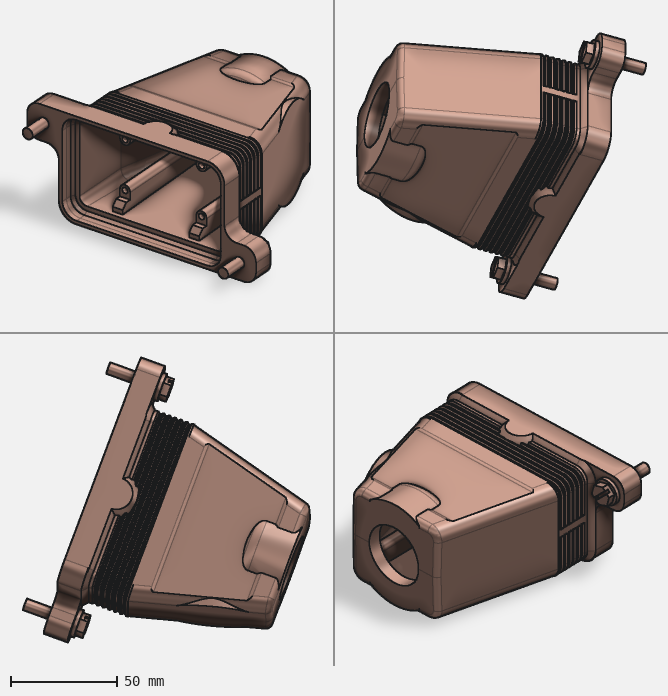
import cadquery as cq
import math


overlap = 1.3

total_length = 132.5
flange_half_x = 48.0
flange_half_z = 29.0
flange_thickness = 11.9
flange_corner = 10.0
lug_corner = 7.0
lug_edge_z = 9.5

collar_half_x = 45.2
collar_half_z = 26.6
collar_corner = 6.9
collar_top = 34.5
foot_chamfer = flange_half_x - collar_half_x
groove_count = 6
groove_pitch = 2.9
groove_depth = 0.8
groove_mouth = 2.4
groove_floor = 0.7
first_groove_y = 17.6
strip_half_width = 2.3

hood_top = 99.9
hood_base_x = 44.9
side_slope = math.radians(15.0)
back_drop = 0.7
back_round = 3.3
panel_depth = 0.5
panel_start = 44.4
panel_end = 87.2
panel_ramp = 1.7

gland_radius = flange_half_z
gland_start = 75.5
gland_cone_end = 78.3
gland_round = 6.2
cone_angle = math.radians(45.0)
gland_half_width = 15.9
gland_hole_radius = 15.9
side_boss_radius = 26.0
side_boss_y = 73.0
side_boss_depth = 10.6

pad_radius = 7.7
pad_skirt = 3.5

seat_half_x = 45.8
seat_half_z = 27.0
seat_corner = 8.0
seat_straight = 3.2
seat_taper = 0.1
seat_taper_end = 6.5
seat_chamfer = 1.2
seat_depth = 8.7
mouth_half_x = 42.1
mouth_half_z = 23.2
mouth_corner = 4.2
bend_y = 39.8
bend_half_x = 40.4
cavity_end = 92.8
cavity_corner = 5.3
end_half_x = bend_half_x - (cavity_end - bend_y) * math.tan(side_slope)
end_half_z = 21.5
bend_share = (bend_y - seat_depth) / (cavity_end - seat_depth)
bend_half_z = mouth_half_z + (end_half_z - mouth_half_z) * bend_share

post_x = 22.1
post_radius = 2.9
post_hole_z = 13.6
post_hole_radius = 1.6
post_hole_depth = 15.9
post_face = 17.6
nose_tip = 11.7
nose_z = 17.8
nose_chamfer = 2.9

screw_x = 56.6
screw_z = 19.5
shank_radius = 2.9
shank_length = 13.1
washer_radius = 6.9
washer_thickness = 2.1
head_width = 11.5
head_height = 3.8
head_turn = -45.0
slot_width = 1.6
slot_depth = 2.0


def section(y):
    """Workplane across the hood at height y: local x is X, local y is Z, normal is +Y."""
    return cq.Workplane("XZ", origin=(0, y, 0)).transformed(rotate=(180, 0, 0))


def rounded_sketch(half_x, half_z, radius):
    return cq.Sketch().rect(2 * half_x, 2 * half_z).vertices().fillet(radius)


def rounded_prism(half_x, half_z, radius, y_start, y_end):
    sketch = rounded_sketch(half_x, half_z, radius)
    return section(y_start).placeSketch(sketch).extrude(y_end - y_start)


def rounded_loft(start, end, y_start, y_end):
    """Ruled solid between two rounded rectangles given as (half_x, half_z, radius)."""
    first = rounded_sketch(*start)
    last = rounded_sketch(*end).moved(cq.Location(cq.Vector(0, 0, y_end - y_start)))
    return section(y_start).placeSketch(first, last).loft(ruled=True)


def box_between(x, y, z):
    """Box from (low, high) pairs along X, Y and Z."""
    size = [high - low for low, high in (x, y, z)]
    return cq.Workplane().box(*size, centered=False).translate((x[0], y[0], z[0]))


def make_flange():
    body = rounded_prism(flange_half_x, flange_half_z, flange_corner, 0, flange_thickness)
    for turn in (0, 180):
        body = body.union(make_lug().rotate((0, 0, 0), (0, 1, 0), turn))
    return body


def make_lug():
    """Lug on the -X, +Z corner, blended into the flange side by a concave round."""
    outer_x = -total_length / 2
    inner_x = -flange_half_x + flange_corner
    r = lug_corner
    k = r * (1 - math.sqrt(0.5))
    edge = -flange_half_x
    outline = (
        cq.Workplane("XZ")
        .moveTo(inner_x, flange_half_z)
        .lineTo(outer_x + r, flange_half_z)
        .threePointArc((outer_x + k, flange_half_z - k), (outer_x, flange_half_z - r))
        .lineTo(outer_x, lug_edge_z + r)
        .threePointArc((outer_x + k, lug_edge_z + k), (outer_x + r, lug_edge_z))
        .lineTo(edge - r, lug_edge_z)
        .threePointArc((edge - k, lug_edge_z - k), (edge, lug_edge_z - r))
        .lineTo(inner_x, lug_edge_z - r)
        .close()
    )
    return outline.extrude(-flange_thickness)


def make_collar():
    collar = rounded_prism(collar_half_x, collar_half_z, collar_corner, 0, collar_top)
    narrow = (collar_half_x, collar_half_z, flange_corner - foot_chamfer)
    wide = tuple(size + foot_chamfer for size in narrow)
    foot = rounded_loft(wide, narrow, flange_thickness, flange_thickness + foot_chamfer)
    foot_height = (flange_thickness, flange_thickness + foot_chamfer)
    flange_width = (-flange_half_x, flange_half_x)
    foot = foot.intersect(box_between(flange_width, foot_height, (-flange_half_z, flange_half_z)))
    for index in range(groove_count):
        collar = collar.cut(make_groove(first_groove_y + index * groove_pitch))
    return collar.union(foot)


def make_groove(y):
    """Ring-shaped cutter of trapezoidal section, interrupted by a strip on each X side."""
    outer = (collar_half_x, collar_half_z, collar_corner)
    inner = tuple(size - groove_depth for size in outer)
    low = y - groove_mouth / 2
    high = y + groove_mouth / 2
    floor_low = y - groove_floor / 2
    floor_high = y + groove_floor / 2
    ring = rounded_prism(*outer, low, high)
    ring = ring.cut(rounded_loft(outer, inner, low, floor_low))
    ring = ring.cut(rounded_prism(*inner, floor_low, floor_high))
    ring = ring.cut(rounded_loft(inner, outer, floor_high, high))
    reach = collar_half_x + overlap
    strip = box_between((-reach, reach), (low, high), (-strip_half_width, strip_half_width))
    return ring.cut(strip)


def make_hood():
    """Tapered block with rounded sides and a back face falling away from its middle."""
    top_x = hood_base_x - (hood_top - collar_top) * math.tan(side_slope)
    block = (
        cq.Workplane("XY")
        .polyline(
            [
                (-hood_base_x, collar_top),
                (hood_base_x, collar_top),
                (top_x, hood_top),
                (-top_x, hood_top),
            ]
        )
        .close()
        .extrude(collar_half_z, both=True)
    )
    block = block.intersect(back_limit())
    block = block.faces("|Z").edges("not |X").fillet(collar_corner)
    return block.faces(">Y").edges("not(>Y)").fillet(back_round)


def back_limit():
    """Wedge-backed block that gives the back face its slight fall toward both Z sides."""
    side_y = hood_top - back_drop
    half = flange_half_z
    return (
        cq.Workplane("YZ")
        .polyline([(0, -half), (side_y, -half), (hood_top, 0), (side_y, half), (0, half)])
        .close()
        .extrude(total_length / 2, both=True)
    )


def make_panel_cutter():
    """Shallow recess across the +Z face, with sloped ends."""
    floor_z = collar_half_z - panel_depth
    return (
        cq.Workplane("YZ")
        .polyline(
            [
                (panel_start, floor_z),
                (panel_end, floor_z),
                (panel_end + panel_ramp, collar_half_z),
                (panel_start - panel_ramp, collar_half_z),
            ]
        )
        .close()
        .extrude(total_length / 2, both=True)
    )


def make_gland_boss():
    """Cylinder on the back whose end rounds over tangentially into a 45 degree cone."""
    run = gland_round * math.sin(cone_angle)
    drop = gland_round * (1 - math.cos(cone_angle))
    cone_length = gland_cone_end - gland_start
    arc_start = (gland_radius, gland_cone_end + run)
    arc_middle = (
        gland_radius - gland_round * (1 - math.cos(cone_angle / 2)),
        arc_start[1] - gland_round * math.sin(cone_angle / 2),
    )
    arc_end = (gland_radius - drop, gland_cone_end)
    boss = (
        cq.Workplane("XY")
        .moveTo(0, gland_start)
        .lineTo(arc_end[0] - cone_length * math.tan(cone_angle), gland_start)
        .lineTo(*arc_end)
        .threePointArc(arc_middle, arc_start)
        .lineTo(gland_radius, hood_top)
        .lineTo(0, hood_top)
        .close()
        .revolve(360, (0, 0, 0), (0, 1, 0))
    )
    width = (-gland_half_width, gland_half_width)
    height = (-gland_radius, gland_radius)
    boss = boss.intersect(box_between(width, (gland_start, hood_top), height))
    return boss.intersect(back_limit())


def make_side_boss():
    """Disc flush with the slanted +X face, showing where it fills the rounded edges."""
    face_x = hood_base_x - (side_boss_y - collar_top) * math.tan(side_slope)
    normal = cq.Vector(math.cos(side_slope), math.sin(side_slope), 0)
    plane = cq.Plane(origin=(face_x, side_boss_y, 0), xDir=(0, 0, 1), normal=normal.toTuple())
    return cq.Workplane(plane).circle(side_boss_radius).extrude(-side_boss_depth)


def make_pads():
    """Half-round pads, flush with both Z faces of the flange, on a 45 degree skirt."""
    skirt = (
        cq.Workplane("XY", origin=(0, flange_thickness, flange_half_z - pad_skirt))
        .circle(pad_radius + pad_skirt)
        .workplane(offset=pad_skirt)
        .circle(pad_radius)
        .loft()
    )
    reach = pad_radius + pad_skirt
    height = (flange_thickness - overlap, flange_thickness + reach)
    keep = box_between((-reach, reach), height, (0, flange_half_z))
    pad = skirt.intersect(keep)
    return pad.union(pad.mirror("XY"))


def make_cavity():
    rim = (seat_half_x, seat_half_z, seat_corner)
    throat = tuple(size - seat_taper for size in rim)
    ledge = tuple(size - seat_chamfer for size in throat)
    cavity = rounded_prism(*rim, 0, seat_straight)
    cavity = cavity.union(rounded_loft(rim, throat, seat_straight, seat_taper_end))
    cavity = cavity.union(rounded_loft(throat, ledge, seat_taper_end, seat_depth))
    mouth = (mouth_half_x, mouth_half_z, mouth_corner)
    bend = (bend_half_x, bend_half_z, cavity_corner)
    end = (end_half_x, end_half_z, cavity_corner)
    cavity = cavity.union(rounded_loft(mouth, bend, seat_depth, bend_y))
    cavity = cavity.union(rounded_loft(bend, end, bend_y, cavity_end))
    hole = section(cavity_end - overlap).circle(gland_hole_radius)
    hole = hole.extrude(hood_top - cavity_end + 2 * overlap)
    return cavity.union(hole)


def make_post():
    """Post along Y on the +X, +Z side, with a chamfered nose and a blind screw hole."""
    wall_z = mouth_half_z + overlap
    sides = (post_x - post_radius, post_x + post_radius)
    depth = (post_face, cavity_end + overlap)
    post = box_between(sides, depth, (post_hole_z, wall_z))
    bar = cq.Workplane("XZ", origin=(post_x, post_face, post_hole_z))
    post = post.union(bar.circle(post_radius).extrude(post_face - depth[1]))
    nose = (
        cq.Workplane("YZ", origin=(sides[0], 0, 0))
        .polyline(
            [
                (post_face, nose_z),
                (nose_tip + nose_chamfer, nose_z),
                (nose_tip, nose_z + nose_chamfer),
                (nose_tip, wall_z),
                (post_face, wall_z),
            ]
        )
        .close()
        .extrude(2 * post_radius)
    )
    return post.union(nose).cut(bar.circle(post_hole_radius).extrude(-post_hole_depth))


def make_screw():
    """Screw on the Y axis: plain shank, washer and slotted hexagon head."""
    screw = section(-shank_length).circle(shank_radius).extrude(shank_length + flange_thickness)
    washer_top = flange_thickness + washer_thickness
    washer = section(flange_thickness).circle(washer_radius).extrude(washer_thickness)
    head_top = washer_top + head_height
    head = section(washer_top).polygon(6, head_width).extrude(head_height)
    slot = box_between(
        (-slot_width / 2, slot_width / 2),
        (head_top - slot_depth, head_top),
        (-head_width / 2, head_width / 2),
    )
    head = head.cut(slot).rotate((0, 0, 0), (0, 1, 0), head_turn)
    return screw.union(washer).union(head)


hood = make_hood()
panel = make_panel_cutter()
hood = hood.cut(panel).cut(panel.mirror("XY"))
hood = hood.union(make_gland_boss()).union(make_side_boss())
shell = make_flange().union(make_collar()).union(hood).union(make_pads())

cavity = make_cavity()
post = make_post()
posts = post.union(post.mirror("YZ"))
posts = posts.union(posts.mirror("XY"))
result = shell.cut(cavity.cut(posts))

screw = make_screw()
for side in (-1, 1):
    result = result.union(screw.translate((side * screw_x, 0, -side * screw_z)))